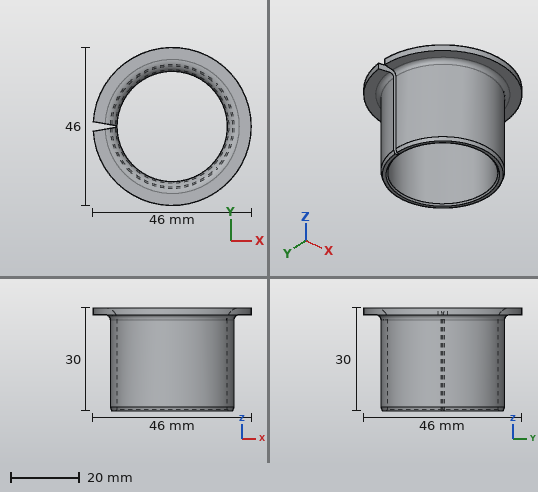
import cadquery as cq
import math

BORE_RADIUS = 16.0
WALL = 2.0
FLANGE_RADIUS = 23.0
HEIGHT = 30.0
OUTER_BEND_RADIUS = 1.5
CHAMFER_HEIGHT = 1.2
CHAMFER_ANGLE = 20.0
BORE_CHAMFER = 0.5
SPLIT_HALF_WIDTH = 0.5
SPLIT_HALF_ANGLE = 10.0

sleeve_radius = BORE_RADIUS + WALL
bend_center_radius = sleeve_radius + OUTER_BEND_RADIUS
inner_bend_radius = OUTER_BEND_RADIUS + WALL
flange_bottom = HEIGHT - WALL
bend_bottom = HEIGHT - inner_bend_radius
chamfer_depth = CHAMFER_HEIGHT * math.tan(math.radians(CHAMFER_ANGLE))


def bend_point(radius):
    """Midpoint (r, z) of a quarter bend between the sleeve and the flange."""
    offset = radius * math.sqrt(0.5)
    return (bend_center_radius - offset, bend_bottom + offset)


def make_flanged_sleeve():
    """Constant-thickness sleeve rolled outward into a flange at the top."""
    return (
        cq.Workplane("XZ")
        .moveTo(BORE_RADIUS, BORE_CHAMFER)
        .lineTo(BORE_RADIUS + BORE_CHAMFER, 0)
        .lineTo(sleeve_radius - chamfer_depth, 0)
        .lineTo(sleeve_radius, CHAMFER_HEIGHT)
        .lineTo(sleeve_radius, bend_bottom)
        .threePointArc(bend_point(OUTER_BEND_RADIUS), (bend_center_radius, flange_bottom))
        .lineTo(FLANGE_RADIUS, flange_bottom)
        .lineTo(FLANGE_RADIUS, HEIGHT)
        .lineTo(bend_center_radius, HEIGHT)
        .threePointArc(bend_point(inner_bend_radius), (BORE_RADIUS, bend_bottom))
        .close()
        .revolve(360, (0, 0, 0), (0, 1, 0))
        .rotate((0, 0, 0), (0, 0, 1), 180)
    )


def make_split():
    """Full-height wedge on the -X side, widening outward from inside the bore."""
    slope = math.tan(math.radians(SPLIT_HALF_ANGLE))
    apex_x = -sleeve_radius + SPLIT_HALF_WIDTH / slope
    mouth_x = -FLANGE_RADIUS - WALL
    mouth_half_width = (apex_x - mouth_x) * slope
    return (
        cq.Workplane("XY")
        .moveTo(apex_x, 0)
        .lineTo(mouth_x, mouth_half_width)
        .lineTo(mouth_x, -mouth_half_width)
        .close()
        .extrude(HEIGHT)
    )


result = make_flanged_sleeve().cut(make_split())